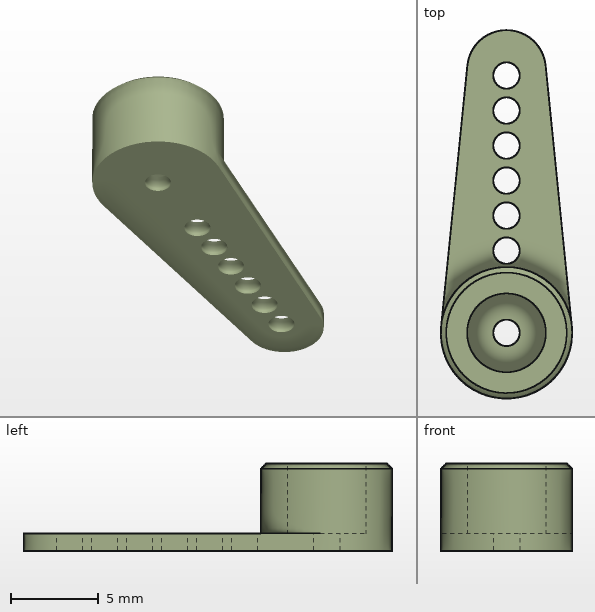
import cadquery as cq
import math

total_length = 21
hub_diameter = 7.5
hub_height = 5.0
arm_thickness = 1.0
tip_diameter = 4.5

bore_diameter = 4.5
floor_thickness = arm_thickness
hub_chamfer = 0.31

hole_diameter = 1.5
hole_count = 6
hole_pitch = 2.0
first_hole_y = 4.68

hub_radius = hub_diameter / 2
tip_radius = tip_diameter / 2
tip_y = total_length - hub_radius - tip_radius

tangent_angle = math.asin((hub_radius - tip_radius) / tip_y)


def tangent_point(radius, center_y):
    """Point where the +X side of the arm touches an end circle."""
    return (
        radius * math.cos(tangent_angle),
        center_y + radius * math.sin(tangent_angle),
    )


def make_arm():
    """Flat tapered arm with round ends tangent to its sides."""
    hub_x, hub_y = tangent_point(hub_radius, 0)
    end_x, end_y = tangent_point(tip_radius, tip_y)
    return (
        cq.Workplane("XY")
        .moveTo(hub_x, hub_y)
        .lineTo(end_x, end_y)
        .threePointArc((0, tip_y + tip_radius), (-end_x, end_y))
        .lineTo(-hub_x, hub_y)
        .threePointArc((0, -hub_radius), (hub_x, hub_y))
        .close()
        .extrude(arm_thickness)
    )


def make_hub():
    """Cylinder around the origin with a chamfered top rim."""
    hub = cq.Workplane("XY").circle(hub_radius).extrude(hub_height)
    return hub.faces(">Z").edges().chamfer(hub_chamfer)


def make_bore():
    """Blind bore from the hub top down to the floor."""
    return (
        cq.Workplane("XY")
        .workplane(offset=floor_thickness)
        .circle(bore_diameter / 2)
        .extrude(hub_height - floor_thickness)
    )


def make_holes():
    """Cutters for the hub floor hole and the row of arm holes."""
    row = [(0, first_hole_y + i * hole_pitch) for i in range(hole_count)]
    return (
        cq.Workplane("XY")
        .pushPoints([(0, 0)] + row)
        .circle(hole_diameter / 2)
        .extrude(arm_thickness)
    )


result = make_arm().union(make_hub()).cut(make_bore()).cut(make_holes())